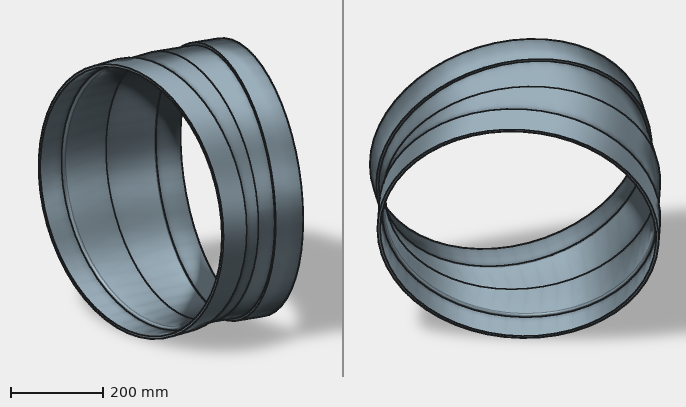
import cadquery as cq
import math

COLLAR_DIAMETER = 612.0
PIPE_DIAMETER = 600.0
BORE_DIAMETER = 588.0
SOCKET_DIAMETER = PIPE_DIAMETER
COLLAR_LENGTH = 66.5
SOCKET_DEPTH = 61.0
LEG_LENGTH = 145.0
BEND_ANGLE = 15.0

MITRE_ANGLE = BEND_ANGLE / 2
SEAT_RADIUS = (SOCKET_DIAMETER - BORE_DIAMETER) / 2
MITRE_RISE = PIPE_DIAMETER / 2 * math.tan(math.radians(MITRE_ANGLE))
UNTRIMMED_LENGTH = LEG_LENGTH + 2 * MITRE_RISE
CUTTER_SIZE = 2 * COLLAR_DIAMETER


def cylinder(diameter, start, length):
    """Cylinder along +Y that begins at the given Y."""
    plane = cq.Plane(origin=(0, start, 0), xDir=(1, 0, 0), normal=(0, 1, 0))
    return cq.Workplane(plane).circle(diameter / 2).extrude(length)


def beyond_mitre():
    """Block filling the space on the +Y side of the mitre plane through the origin."""
    block = cq.Workplane("XY").box(CUTTER_SIZE, CUTTER_SIZE, CUTTER_SIZE, centered=(True, False, True))
    return block.rotate((0, 0, 0), (0, 0, 1), -MITRE_ANGLE)


def cavity():
    """Hollow of one leg: socket, quarter-round seat and bore, turned about the Y axis."""
    socket_radius = SOCKET_DIAMETER / 2
    bore_radius = BORE_DIAMETER / 2
    open_end = -LEG_LENGTH
    seat_start = open_end + SOCKET_DEPTH
    seat_end = seat_start + SEAT_RADIUS
    arc_rise = SEAT_RADIUS * math.sin(math.radians(45))
    profile = (
        cq.Workplane("XY")
        .moveTo(0, open_end)
        .lineTo(socket_radius, open_end)
        .lineTo(socket_radius, seat_start)
        .threePointArc((socket_radius - arc_rise, seat_end - arc_rise), (bore_radius, seat_end))
        .lineTo(bore_radius, open_end + UNTRIMMED_LENGTH)
        .lineTo(0, open_end + UNTRIMMED_LENGTH)
        .close()
    )
    return profile.revolve(360, (0, 0, 0), (0, 1, 0))


def socket_leg():
    """Straight pipe with a socket at its -Y end, cut at the mitre plane through the origin."""
    pipe = cylinder(PIPE_DIAMETER, -LEG_LENGTH, UNTRIMMED_LENGTH)
    collar = cylinder(COLLAR_DIAMETER, -LEG_LENGTH, COLLAR_LENGTH)
    return pipe.union(collar).cut(cavity()).cut(beyond_mitre())


straight_leg = socket_leg().translate((0, LEG_LENGTH, 0))

angled_leg = (
    socket_leg()
    .mirror("XZ")
    .rotate((0, 0, 0), (0, 0, 1), -BEND_ANGLE)
    .translate((0, LEG_LENGTH, 0))
)

result = cq.Compound.makeCompound([straight_leg.val(), angled_leg.val()])